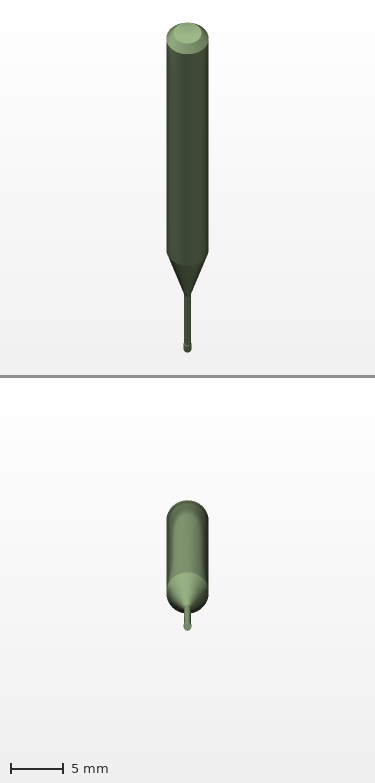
import math

import cadquery as cq

total_length = 45.0
shank_diameter = 4.0

chamfer_width = 0.68
chamfer_height = 0.75

neck_top = 7.8
neck_diameter = 0.65
cone_half_angle = math.radians(15)
blend_radius = 1.0

head_height = 0.85
head_diameter = 0.7
shoulder_height = 0.15

shank_radius = shank_diameter / 2
neck_radius = neck_diameter / 2
head_radius = head_diameter / 2


def blend_point(angle):
    """Point (radius, height) on the blend arc, turned by angle from the neck wall."""
    return (
        neck_radius + blend_radius * (1 - math.cos(angle)),
        neck_top + blend_radius * math.sin(angle),
    )


def make_holder():
    """Chamfered shank, cone and slender neck, revolved in one piece."""
    cone_bottom_radius, cone_bottom = blend_point(cone_half_angle)
    cone_height = (shank_radius - cone_bottom_radius) / math.tan(cone_half_angle)
    outline = (
        cq.Workplane("XZ")
        .moveTo(0, head_height)
        .lineTo(head_radius, head_height)
        .lineTo(neck_radius, head_height + shoulder_height)
        .lineTo(neck_radius, neck_top)
        .threePointArc(blend_point(cone_half_angle / 2), (cone_bottom_radius, cone_bottom))
        .lineTo(shank_radius, cone_bottom + cone_height)
        .lineTo(shank_radius, total_length - chamfer_height)
        .lineTo(shank_radius - chamfer_width, total_length)
        .lineTo(0, total_length)
        .close()
    )
    return outline.revolve(360, (0, 0), (0, 1))


def make_cutting_head():
    """Plain cylinder under the tapered shoulder of the neck."""
    return cq.Workplane("XY").circle(head_radius).extrude(head_height)


holder = make_holder()
cutting_head = make_cutting_head()

result = cq.Compound.makeCompound([holder.val(), cutting_head.val()])